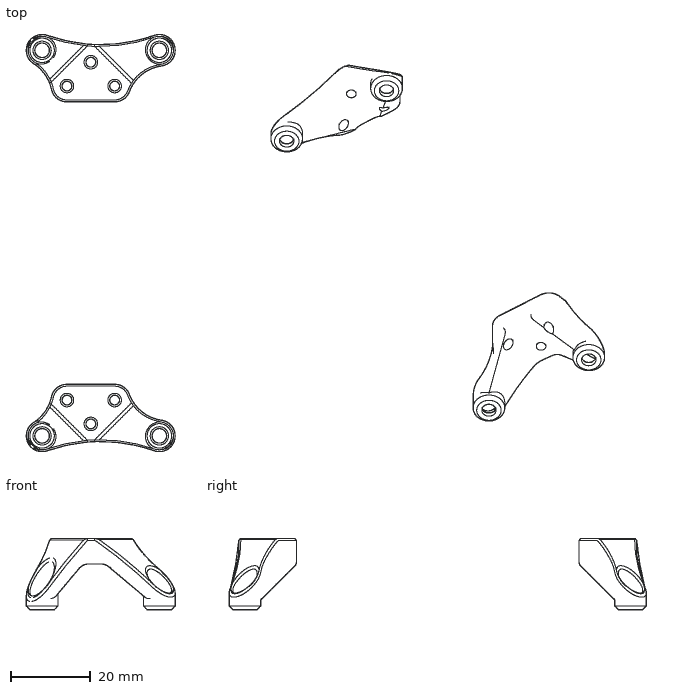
import cadquery as cq
import math

foot_spacing_x = 29.5
foot_spacing_y = 97.0
foot_radius = 8.0 / 2
foot_bottom_radius = 6.15 / 2
foot_chamfer_height = 1.0

foot_hole_diameter = 3.6
seat_diameter = 6.15
seat_floor_z = 2.0
foot_hole_chamfer = 0.5

height = 18.0
plate_x = -2.5
plate_back_y = -35.5
plate_margin = 4.0
hole_half_spacing = 6.0
plate_hole_diameter = 2.4
plate_hole_chamfer = 0.5

side_flank_radius = 10.0
front_flank_radius = 40.0

left_slope_angle = 55.0
right_slope_angle = 45.0
edge_chamfer = 0.5

belly_z = 11.5
arch_left_x = -4.5
arch_right_x = 1.2
arch_left_angle = 50.0
arch_right_angle = 40.0
arch_corner_radius = 3.0
back_slope_angle = 45.0
underside_fillet = 1.5

reach = 40.0

left_foot = (-foot_spacing_x / 2, -foot_spacing_y / 2)
right_foot = (foot_spacing_x / 2, -foot_spacing_y / 2)
feet_centers = [left_foot, right_foot]
back_holes_y = plate_back_y - plate_margin
left_corner = (plate_x - hole_half_spacing, back_holes_y)
right_corner = (plate_x + hole_half_spacing, back_holes_y)
front_hole = (plate_x, back_holes_y - hole_half_spacing)
front_flank_drop = math.sqrt((front_flank_radius + foot_radius) ** 2 - (foot_spacing_x / 2) ** 2)
front_flank_center = (0, left_foot[1] - front_flank_drop)


def toward(start, end, distance):
    """Point at a distance from start, on the way to end."""
    share = distance / math.dist(start, end)
    return (start[0] + (end[0] - start[0]) * share, start[1] + (end[1] - start[1]) * share)


def midpoint(start, end):
    """Point halfway between start and end."""
    return ((start[0] + end[0]) / 2, (start[1] + end[1]) / 2)


def polar(center, radius, angle):
    """Point on a circle at an angle in degrees."""
    turn = math.radians(angle)
    return (center[0] + radius * math.cos(turn), center[1] + radius * math.sin(turn))


def flank_center(start, end):
    """Centre of the side flank touching a foot and a plate corner, left of the way start -> end."""
    middle = midpoint(start, end)
    aside = math.sqrt((side_flank_radius + foot_radius) ** 2 - math.dist(start, middle) ** 2)
    direction = math.degrees(math.atan2(end[1] - start[1], end[0] - start[0]))
    return polar(middle, aside, direction + 90)


def bracket_prism(bottom_z):
    """Plan outline of a bracket, extruded up to the full height."""
    left_flank = flank_center(left_foot, left_corner)
    right_flank = flank_center(right_corner, right_foot)
    left_flank_middle = toward(left_flank, midpoint(left_foot, left_corner), side_flank_radius)
    right_flank_middle = toward(right_flank, midpoint(right_foot, right_corner), side_flank_radius)
    return (
        cq.Workplane("XY", origin=(0, 0, bottom_z))
        .moveTo(left_corner[0], plate_back_y)
        .lineTo(right_corner[0], plate_back_y)
        .threePointArc(polar(right_corner, plate_margin, 60), toward(right_corner, right_flank, plate_margin))
        .threePointArc(right_flank_middle, toward(right_foot, right_flank, foot_radius))
        .threePointArc(polar(right_foot, foot_radius, -45),
                       toward(right_foot, front_flank_center, foot_radius))
        .threePointArc(polar(front_flank_center, front_flank_radius, 90),
                       toward(left_foot, front_flank_center, foot_radius))
        .threePointArc(polar(left_foot, foot_radius, 180), toward(left_foot, left_flank, foot_radius))
        .threePointArc(left_flank_middle, toward(left_corner, left_flank, plate_margin))
        .threePointArc(polar(left_corner, plate_margin, 120), (left_corner[0], plate_back_y))
        .close()
        .extrude(height - bottom_z)
    )


def space_over_leg(slope_angle, plan_direction):
    """Wedge above a leg whose top starts at the plate margin and falls along a plan direction."""
    start = plate_margin
    end = plate_margin + reach
    drop = reach * math.tan(math.radians(slope_angle))
    return (
        cq.Workplane("XZ")
        .polyline([(start, height), (end, height), (end, height - drop)])
        .close()
        .extrude(reach, both=True)
        .rotate((0, 0, 0), (0, 0, 1), plan_direction)
        .translate((*front_hole, 0))
    )


def sloped_prism():
    """Bracket prism with the tops of both legs sloping down to the feet."""
    left_space = space_over_leg(left_slope_angle, -135)
    right_space = space_over_leg(right_slope_angle, -45)
    return bracket_prism(0).cut(left_space).cut(right_space)


def chamfered_prism():
    """Sloped prism with every edge of its top faces chamfered."""
    body = sloped_prism()
    top_faces = [face for face in body.faces("%PLANE").vals() if face.normalAt().z > 0.1]
    edges = []
    for face in top_faces:
        edges += [edge for edge in face.Edges() if not any(edge.isSame(other) for other in edges)]
    return body.newObject(edges).chamfer(edge_chamfer)


def seated_prism():
    """Sloped prism with a chamfered screw seat sunk into each foot."""
    seats = (
        cq.Workplane("XY", origin=(0, 0, seat_floor_z))
        .pushPoints(feet_centers)
        .circle(seat_diameter / 2)
        .extrude(height)
    )
    body = sloped_prism().cut(seats)
    rims = []
    for x, y in feet_centers:
        foot_core = cq.selectors.BoxSelector((x - 1, y - 1, 0), (x + 1, y + 1, height))
        rims += body.edges("%ELLIPSE").edges(foot_core).vals()
    return body.newObject(rims).chamfer(edge_chamfer)


def arched_block():
    """Block with the front flank, hollowed by the arch and rounded along its front and back edges."""
    half_width = foot_spacing_x / 2 + foot_radius
    left_drop = reach * math.tan(math.radians(arch_left_angle))
    right_drop = reach * math.tan(math.radians(arch_right_angle))
    arch = (
        cq.Workplane("XZ")
        .polyline([
            (arch_left_x, belly_z),
            (arch_right_x, belly_z),
            (arch_right_x + reach, belly_z - right_drop),
            (arch_left_x - reach, belly_z - left_drop),
        ])
        .close()
        .extrude(2 * reach)
        .edges("|Y and >Z")
        .fillet(arch_corner_radius)
    )
    side_y = front_flank_center[1] + math.sqrt(front_flank_radius**2 - half_width**2)
    block = (
        cq.Workplane("XY", origin=(0, 0, -reach))
        .moveTo(half_width, side_y)
        .threePointArc(polar(front_flank_center, front_flank_radius, 90), (-half_width, side_y))
        .lineTo(-half_width, plate_back_y)
        .lineTo(half_width, plate_back_y)
        .close()
        .extrude(height + reach)
        .cut(arch)
    )
    return block.faces("<Y or >Y").edges("not(|Z or >Z)").fillet(underside_fillet)


def back_sloped_prism():
    """Bracket prism whose underside rises to the back, rounded along the walls."""
    drop = reach * math.tan(math.radians(back_slope_angle))
    space_below = (
        cq.Workplane("YZ")
        .polyline([
            (plate_back_y, belly_z),
            (plate_back_y - reach, belly_z - drop),
            (plate_back_y, belly_z - drop),
        ])
        .close()
        .extrude(reach, both=True)
    )
    body = bracket_prism(-reach / 2).cut(space_below)
    back_min = (-reach, left_foot[1] + foot_radius / 2, -reach)
    back_half = cq.selectors.BoxSelector(back_min, (reach, 0, height))
    return body.faces("<Z").edges(back_half).fillet(underside_fillet)


def feet():
    """Full-height columns over the feet, chamfered around the bottom."""
    return (
        cq.Workplane("XY")
        .pushPoints(feet_centers)
        .circle(foot_radius)
        .extrude(height)
        .faces("<Z")
        .chamfer(foot_chamfer_height, foot_radius - foot_bottom_radius)
    )


def chamfered_hole(center, diameter, mouth_z, mouth_chamfer):
    """Cutter for a through hole whose upper mouth is chamfered at a given height."""
    hole = cq.Workplane("XY").circle(diameter / 2).extrude(mouth_z)
    mouth = (
        cq.Workplane("XY", origin=(0, 0, mouth_z))
        .circle(diameter / 2 + mouth_chamfer)
        .extrude(-mouth_chamfer, taper=45)
    )
    return hole.union(mouth).translate((*center, 0))


def bracket():
    """One bracket, the one at the front."""
    above_foot_chamfer = (
        cq.Workplane("XY", origin=(0, left_foot[1], foot_chamfer_height))
        .rect(2 * reach, 2 * reach)
        .extrude(height)
    )
    legs = arched_block().intersect(back_sloped_prism()).intersect(above_foot_chamfer)
    body = legs.cut(feet()).union(feet())
    body = body.intersect(chamfered_prism()).intersect(seated_prism())
    for center in feet_centers:
        body = body.cut(chamfered_hole(center, foot_hole_diameter, seat_floor_z, foot_hole_chamfer))
    for center in [left_corner, right_corner, front_hole]:
        body = body.cut(chamfered_hole(center, plate_hole_diameter, height, plate_hole_chamfer))
    return body


front_bracket = bracket()
back_bracket = front_bracket.mirror("XZ")

result = cq.Compound.makeCompound([front_bracket.val(), back_bracket.val()])